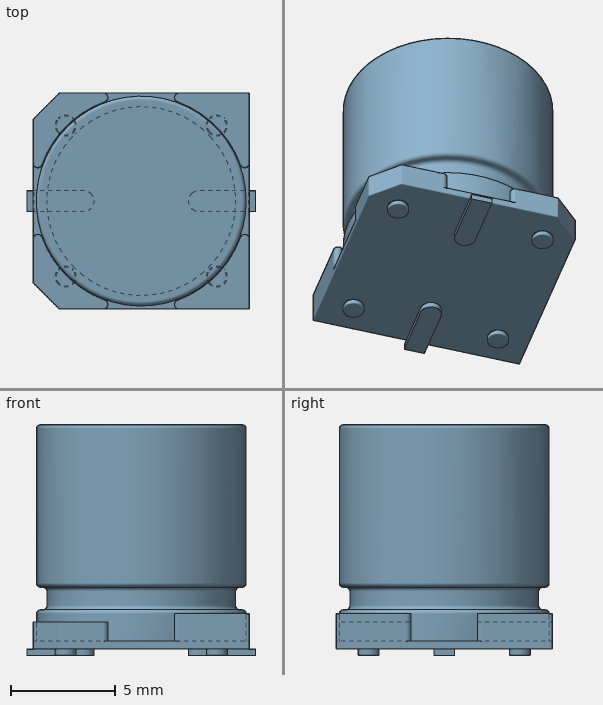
import cadquery as cq
import math

TOTAL_HEIGHT = 11.0
LEAD_SPAN = 10.9
BASE_SIDE = 10.3
STANDOFF = 0.3

CAN_RADIUS = 5.0
NECK_RADIUS = 4.5
CAN_ROUND = 0.2
FLANGE_TOP = 2.18
NECK_TOP = 3.25

FLOOR_TOP = 0.7
LOW_CORNER_TOP = 1.6
HIGH_CORNER_TOP = 2.0
CORNER_CHAMFER = 1.25
EDGE_ROUND = 0.05
CAN_CLEARANCE = 0.03
TIP_ROUND = 0.22
BLOCK_BOTTOM = (STANDOFF + FLOOR_TOP) / 2

LEAD_WIDTH = 1.0
LEAD_INNER_END = 2.25
FOOT_DIAMETER = 1.0
FOOT_OFFSET = 3.6


def make_can():
    """Revolved can: flange, rolled-in neck and cylindrical body with rounded rims."""
    diagonal = CAN_ROUND * math.sqrt(0.5)
    shoulder_radius = NECK_RADIUS + CAN_ROUND
    rim_radius = CAN_RADIUS - CAN_ROUND
    flange_rim = (rim_radius + diagonal, FLANGE_TOP - CAN_ROUND + diagonal)
    neck_foot = (shoulder_radius - diagonal, FLANGE_TOP + CAN_ROUND - diagonal)
    neck_head = (shoulder_radius - diagonal, NECK_TOP - CAN_ROUND + diagonal)
    body_rim = (rim_radius + diagonal, NECK_TOP + CAN_ROUND - diagonal)
    top_rim = (rim_radius + diagonal, TOTAL_HEIGHT - CAN_ROUND + diagonal)
    profile = (
        cq.Workplane("XZ")
        .moveTo(0, BLOCK_BOTTOM)
        .lineTo(CAN_RADIUS, BLOCK_BOTTOM)
        .lineTo(CAN_RADIUS, FLANGE_TOP - CAN_ROUND)
        .threePointArc(flange_rim, (rim_radius, FLANGE_TOP))
        .lineTo(shoulder_radius, FLANGE_TOP)
        .threePointArc(neck_foot, (NECK_RADIUS, FLANGE_TOP + CAN_ROUND))
        .lineTo(NECK_RADIUS, NECK_TOP - CAN_ROUND)
        .threePointArc(neck_head, (shoulder_radius, NECK_TOP))
        .lineTo(rim_radius, NECK_TOP)
        .threePointArc(body_rim, (CAN_RADIUS, NECK_TOP + CAN_ROUND))
        .lineTo(CAN_RADIUS, TOTAL_HEIGHT - CAN_ROUND)
        .threePointArc(top_rim, (rim_radius, TOTAL_HEIGHT))
        .lineTo(0, TOTAL_HEIGHT)
        .close()
    )
    return profile.revolve(360, (0, 0, 0), (0, 1, 0))


def make_floor():
    """Floor plate: a square with the two corners at -X chamfered and all edges rounded."""
    plate = cq.Workplane("XY").workplane(offset=STANDOFF).rect(BASE_SIDE, BASE_SIDE)
    plate = plate.extrude(FLOOR_TOP - STANDOFF)
    plate = plate.edges("|Z and <X").chamfer(CORNER_CHAMFER)
    return plate.edges().fillet(EDGE_ROUND)


def make_corner_block(top):
    """Corner block in the +X +Y quadrant: it follows the can and has rounded tips."""
    half_side = BASE_SIDE / 2
    bore_radius = CAN_RADIUS + CAN_CLEARANCE

    tip_far = half_side - TIP_ROUND
    tip_near = math.sqrt((bore_radius + TIP_ROUND) ** 2 - tip_far**2)
    tip_end = tip_near - TIP_ROUND
    touch_scale = bore_radius / (bore_radius + TIP_ROUND)
    touch_near = tip_near * touch_scale
    touch_far = tip_far * touch_scale
    bore_middle = bore_radius * math.sqrt(0.5)

    outline = (
        cq.Workplane("XY")
        .workplane(offset=BLOCK_BOTTOM)
        .moveTo(half_side, half_side)
        .lineTo(tip_near, half_side)
        .threePointArc((tip_end, tip_far), (touch_near, touch_far))
        .threePointArc((bore_middle, bore_middle), (touch_far, touch_near))
        .threePointArc((tip_far, tip_end), (half_side, tip_near))
        .close()
    )
    return outline.extrude(top - BLOCK_BOTTOM)


def make_low_corner():
    """Lower corner block with a chamfered outer corner, in the +X +Y quadrant."""
    block = make_corner_block(LOW_CORNER_TOP)
    block = block.edges("|Z and >X and >Y").chamfer(CORNER_CHAMFER)
    chamfer_face = block.faces(cq.selectors.DirectionMinMaxSelector(cq.Vector(1, 1, 0)))
    block = chamfer_face.edges("|Z").fillet(EDGE_ROUND)
    return block.faces(">Z").edges().fillet(EDGE_ROUND)


def make_high_corner():
    """Higher corner block with a square outer corner, in the +X +Y quadrant."""
    block = make_corner_block(HIGH_CORNER_TOP)
    block = block.edges("|Z and >X and >Y").fillet(EDGE_ROUND)
    return block.faces(">Z").edges().fillet(EDGE_ROUND)


def make_lead():
    """Flat lead on the +X side with a half-round inner end."""
    tip = LEAD_SPAN / 2
    half_width = LEAD_WIDTH / 2
    round_start = LEAD_INNER_END + half_width
    return (
        cq.Workplane("XY")
        .moveTo(tip, -half_width)
        .lineTo(tip, half_width)
        .lineTo(round_start, half_width)
        .threePointArc((LEAD_INNER_END, 0), (round_start, -half_width))
        .close()
        .extrude(STANDOFF)
    )


def make_feet():
    """Four round feet with rounded rims near the corners of the base."""
    spacing = 2 * FOOT_OFFSET
    feet = cq.Workplane("XY").rect(spacing, spacing, forConstruction=True).vertices()
    return feet.circle(FOOT_DIAMETER / 2).extrude(STANDOFF).edges("%CIRCLE").fillet(EDGE_ROUND)


def turned(shape, angle):
    """The shape rotated about the Z axis by an angle in degrees."""
    return shape.rotate((0, 0, 0), (0, 0, 1), angle)


result = make_floor().union(make_feet())
for angle in (0, 180):
    result = result.union(turned(make_lead(), angle))
for corner, angle in (
    (make_high_corner(), 0),
    (make_low_corner(), 90),
    (make_low_corner(), 180),
    (make_high_corner(), 270),
):
    result = result.union(turned(corner, angle))
result = result.union(make_can())